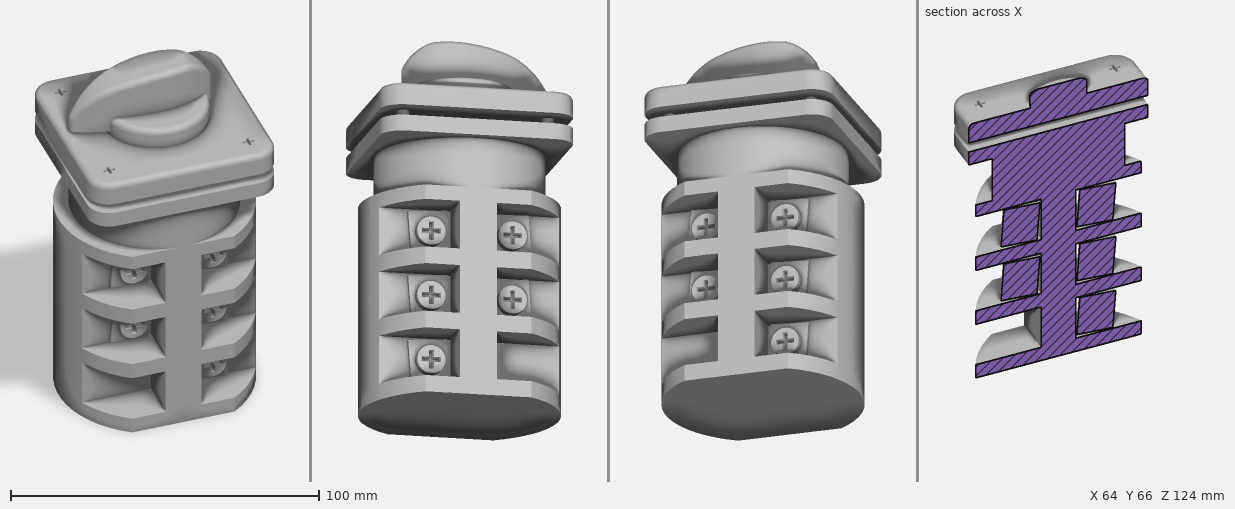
import cadquery as cq
import math

BLOCK_RADIUS = 33.0
BLOCK_FLAT_X = 27.9
BLOCK_TOP = 69.4

POCKET_WALL_X = 13.9
POCKET_WALL_Y = 6.2
POCKET_HEIGHT = 16.0
LEVEL_FIRST = 5.5
LEVEL_PITCH = 21.6
LEVEL_COUNT = 3

CLAMP_WIDTH = 13.0
CLAMP_HEIGHT = 14.8
CLAMP_THICKNESS = 1.5
CLAMP_TILT = 4.3
TERMINAL_Y = 13.5
TERMINAL_HEAD_DIAMETER = 9.4
TERMINAL_HEAD_HEIGHT = 3.1
TERMINAL_CROSS_SPAN = 6.2
TERMINAL_CROSS_ARM = 1.6
TERMINAL_CROSS_DEPTH = 1.9

NECK_RADIUS = BLOCK_FLAT_X
BASE_PLATE_BOTTOM = 86.0
BASE_PLATE_TOP = 91.4
FRONT_PLATE_BOTTOM = 94.8
FRONT_PLATE_TOP = 102.4
PLATE_SIDE = 64.0
PLATE_CORNER_RADIUS = 7.5
EDGE_ROUND = 2.0
SHAFT_DIAMETER = 8.0

DIAL_RADIUS = 17.9
DIAL_TOP = 109.2
HANDLE_BOTTOM = 104.1
HANDLE_TOP = 124.0
HANDLE_HALF_WIDTH = 7.5
HANDLE_FRONT_POINT = 32.2
HANDLE_BACK_POINT = 19.8
FRONT_TIP_RADIUS = 2.0
BACK_TIP_RADIUS = 1.0
CROWN_Y = 4.3
FRONT_PROFILE = [(67.0, -14.5), (24.8, -HANDLE_FRONT_POINT)]
BACK_PROFILE = [(67.0, 8.8), (7.8, 11.5), (14.9, HANDLE_BACK_POINT)]

SCREW_X = 23.4
SCREW_Y = 24.0
SCREW_PLACES = [(x, y, 0) for x in (-SCREW_X, SCREW_X) for y in (-SCREW_Y, SCREW_Y)]
SCREW_HEAD_DIAMETER = 7.9
SCREW_HEAD_HEIGHT = 3.0
SCREW_SHANK_DIAMETER = 4.0
SCREW_CROSS_SPAN = 4.0
SCREW_CROSS_ARM = 1.0
SCREW_CROSS_DEPTH = 1.1

CROSS_TAPER = 15.0


def cylinder(diameter, bottom, top):
    """Upright cylinder on the Z axis."""
    return cq.Workplane("XY", origin=(0, 0, bottom)).circle(diameter / 2).extrude(top - bottom)


def cross_recess(span, arm, depth, top):
    """Tapered cross that narrows downwards from the height `top`."""
    half_span = span / 2
    half_arm = arm / 2
    quarter = [(half_span, -half_arm), (half_span, half_arm), (half_arm, half_arm)]
    outline = []
    for turn in range(4):
        angle = turn * math.pi / 2
        for x, y in quarter:
            turned_x = x * math.cos(angle) - y * math.sin(angle)
            turned_y = x * math.sin(angle) + y * math.cos(angle)
            outline.append((turned_x, turned_y))
    plane = cq.Workplane("XY", origin=(0, 0, top))
    return plane.polyline(outline).close().extrude(-depth, taper=CROSS_TAPER)


def make_contact_block():
    """Drum with two flats and open pockets on three levels."""
    block = cylinder(2 * BLOCK_RADIUS, 0, BLOCK_TOP)
    flats = cq.Workplane("XY").box(
        2 * BLOCK_FLAT_X, 2 * BLOCK_RADIUS, BLOCK_TOP, centered=(True, True, False)
    )
    block = block.intersect(flats)
    for level in range(LEVEL_COUNT):
        floor = LEVEL_FIRST + level * LEVEL_PITCH
        for side_x in (-1, 1):
            for side_y in (-1, 1):
                pocket = (
                    cq.Workplane("XY", origin=(0, 0, floor))
                    .moveTo(side_x * POCKET_WALL_X, side_y * POCKET_WALL_Y)
                    .lineTo(side_x * BLOCK_RADIUS, side_y * POCKET_WALL_Y)
                    .lineTo(side_x * BLOCK_RADIUS, side_y * BLOCK_RADIUS)
                    .lineTo(side_x * POCKET_WALL_X, side_y * BLOCK_RADIUS)
                    .close()
                    .extrude(POCKET_HEIGHT)
                )
                block = block.cut(pocket)
    return block


def make_terminal():
    """Clamp plate and screw head standing on the XY plane, facing +Z."""
    head_top = CLAMP_THICKNESS + TERMINAL_HEAD_HEIGHT
    clamp = (
        cq.Workplane("XY")
        .rect(CLAMP_WIDTH, CLAMP_HEIGHT)
        .extrude(CLAMP_THICKNESS)
        .rotate((0, 0, 0), (0, 0, 1), CLAMP_TILT)
    )
    head = cylinder(TERMINAL_HEAD_DIAMETER, 0, head_top)
    recess = cross_recess(TERMINAL_CROSS_SPAN, TERMINAL_CROSS_ARM, TERMINAL_CROSS_DEPTH, head_top)
    return clamp.union(head).cut(recess)


def add_terminals(block):
    """Put terminals in every pocket except the lowest ones on the -Y side."""
    facing_left = make_terminal().rotate((0, 0, 0), (1, 0, 0), 90).rotate((0, 0, 0), (0, 0, 1), -90)
    facing_left = facing_left.translate((-POCKET_WALL_X, 0, 0))
    facing_right = facing_left.mirror("YZ")
    for level in range(LEVEL_COUNT):
        center_z = LEVEL_FIRST + level * LEVEL_PITCH + POCKET_HEIGHT / 2
        for side_y in (-1, 1):
            if level == 0 and side_y == -1:
                continue
            place = (0, side_y * TERMINAL_Y, center_z)
            block = block.union(facing_left.translate(place))
            block = block.union(facing_right.translate(place))
    return block


def make_plate(bottom, top):
    """Square plate with rounded corners."""
    plate = cq.Workplane("XY", origin=(0, 0, bottom)).rect(PLATE_SIDE, PLATE_SIDE).extrude(top - bottom)
    return plate.edges("|Z").fillet(PLATE_CORNER_RADIUS)


def tangent_arcs(arcs):
    """Middle and end points (Y, Z) of tangent arcs that fall away from the crown."""
    y = CROWN_Y
    z = HANDLE_TOP
    slope = 0.0
    points = []
    for radius, end_y in arcs:
        end_slope = math.asin(math.sin(slope) + (end_y - y) / radius)
        for angle in ((slope + end_slope) / 2, end_slope):
            point_y = y + radius * (math.sin(angle) - math.sin(slope))
            point_z = z - radius * (math.cos(slope) - math.cos(angle))
            points.append((point_y, point_z))
        y, z = points[-1]
        slope = end_slope
    return points


def lens_shoulder(point_y):
    """Middle of the lens side arc that runs from (half width, 0) to (0, point_y)."""
    radius = (point_y**2 + HANDLE_HALF_WIDTH**2) / (2 * HANDLE_HALF_WIDTH)
    half_angle = math.asin(point_y / radius) / 2
    x = HANDLE_HALF_WIDTH - radius * (1 - math.cos(half_angle))
    return x, radius * math.sin(half_angle)


def make_handle():
    """Lens-shaped grip with a curved top that drops to the pointed front."""
    front_x, front_y = lens_shoulder(HANDLE_FRONT_POINT)
    back_x, back_y = lens_shoulder(HANDLE_BACK_POINT)
    lens = (
        cq.Workplane("XY", origin=(0, 0, HANDLE_BOTTOM))
        .moveTo(0, -HANDLE_FRONT_POINT)
        .threePointArc((front_x, -front_y), (HANDLE_HALF_WIDTH, 0))
        .threePointArc((back_x, back_y), (0, HANDLE_BACK_POINT))
        .threePointArc((-back_x, back_y), (-HANDLE_HALF_WIDTH, 0))
        .threePointArc((-front_x, -front_y), (0, -HANDLE_FRONT_POINT))
        .close()
        .extrude(HANDLE_TOP - HANDLE_BOTTOM)
    )
    lens = lens.edges("|Z and <Y").fillet(FRONT_TIP_RADIUS)
    lens = lens.edges("|Z and >Y").fillet(BACK_TIP_RADIUS)

    profile = cq.Workplane("YZ", origin=(-2 * HANDLE_HALF_WIDTH, 0, 0)).moveTo(CROWN_Y, HANDLE_TOP)
    back = tangent_arcs(BACK_PROFILE)
    for middle, end in zip(back[0::2], back[1::2]):
        profile = profile.threePointArc(middle, end)
    profile = profile.lineTo(HANDLE_BACK_POINT, HANDLE_BOTTOM).lineTo(-HANDLE_FRONT_POINT, HANDLE_BOTTOM)
    front = [(CROWN_Y, HANDLE_TOP)] + tangent_arcs(FRONT_PROFILE)
    profile = profile.lineTo(*front[-1])
    for index in range(len(front) - 1, 0, -2):
        profile = profile.threePointArc(front[index - 1], front[index - 2])
    side_shape = profile.close().extrude(4 * HANDLE_HALF_WIDTH)
    handle = lens.intersect(side_shape)

    rim = handle.edges("not(|X or |Z)").filter(lambda edge: edge.BoundingBox().zmin > DIAL_TOP)
    return rim.fillet(EDGE_ROUND)


def make_screw_blank():
    """Screw without its cross recess, on the Z axis: shank and a head flush with the front plate."""
    head_bottom = FRONT_PLATE_TOP - SCREW_HEAD_HEIGHT
    shank = cylinder(SCREW_SHANK_DIAMETER, BASE_PLATE_BOTTOM, head_bottom)
    head = cylinder(SCREW_HEAD_DIAMETER, head_bottom, FRONT_PLATE_TOP)
    return shank.union(head)


def make_switch():
    """Contact block, neck, plates, shaft and knob as one body with four screw holes."""
    front_plate = make_plate(FRONT_PLATE_BOTTOM, FRONT_PLATE_TOP).faces(">Z").edges().fillet(EDGE_ROUND)
    dial = cylinder(2 * DIAL_RADIUS, FRONT_PLATE_TOP, DIAL_TOP).faces(">Z").edges().fillet(EDGE_ROUND)
    switch = (
        add_terminals(make_contact_block())
        .union(cylinder(2 * NECK_RADIUS, BLOCK_TOP, BASE_PLATE_BOTTOM))
        .union(make_plate(BASE_PLATE_BOTTOM, BASE_PLATE_TOP))
        .union(cylinder(SHAFT_DIAMETER, BASE_PLATE_TOP, FRONT_PLATE_BOTTOM))
        .union(front_plate)
        .union(dial.union(make_handle()))
    )
    for place in SCREW_PLACES:
        switch = switch.cut(make_screw_blank().translate(place))
    return switch


def make_screw(place):
    """Finished plate screw at one corner."""
    recess = cross_recess(SCREW_CROSS_SPAN, SCREW_CROSS_ARM, SCREW_CROSS_DEPTH, FRONT_PLATE_TOP)
    return make_screw_blank().translate(place).cut(recess.translate(place))


switch = make_switch()
screws = [make_screw(place) for place in SCREW_PLACES]

result = cq.Compound.makeCompound([switch.val(), *[screw.val() for screw in screws]])